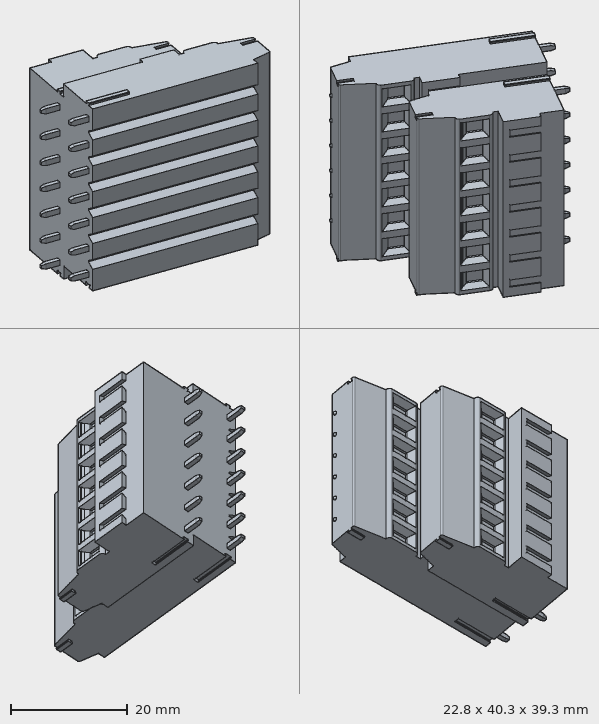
import cadquery as cq
import math

POLES = 7
PITCH = 5.08
ROW_DEPTH_STEP = 10.0
ROW_RISE = 11.32
ROW_STAGGER = PITCH / 2
BODY_LENGTH = 35.7
END_MARGIN = (BODY_LENGTH - (POLES - 1) * PITCH) / 2

FLANGE_BOTTOM = 4.3
FLANGE_TOP = 11.05
FLANGE_DEPTH = 1.0
WIRE_FACE_X = 2.65
NECK_X = 3.45
NECK_Y = 11.95
BULGE_BOTTOM = 12.75
BULGE_TOP = 18.05
BULGE_SHOULDER_Y = 18.7
CROWN_Y = 25.03
CROWN_FRONT_X = 4.55
CROWN_REAR_X = 10.4
CROWN_RADIUS = 0.32
SHOULDER_X = 11.35
SHOULDER_Y = 21.2
BACK_X = 12.8
FRONT_FLANGE_X = 0
REAR_FLANGE_X = 11.65 - ROW_DEPTH_STEP

FUNNEL_BOTTOM = 12.75
FUNNEL_TOP = 17.85
FUNNEL_WIDTH = 3.65
THROAT_BOTTOM = 13.55
THROAT_TOP = 16.5
THROAT_WIDTH = 2.6
FUNNEL_DEPTH = 1.4
THROAT_DEPTH = 1.8
LEDGE_TOP = 17.55
LEDGE_DEPTH = 0.35
LEDGE_CURVE_BOTTOM = 17.25
LEDGE_CURVE_DEPTH = 0.75
LEDGE_CURVE_BULGE = 0.06

NOTCH_TOP = 9.87
FRONT_NOTCH_MOUTH = 1.45
FRONT_NOTCH_ROOT = 2.4
REAR_NOTCH_MOUTH = 1.85
REAR_NOTCH_ROOT = 2.82

V_DEPTH = 1.45
V_MOUTH = 1.85
V_ROOT = 0.25

RAIL_LENGTH = 7.98
RAIL_X = 11.05
RAIL_WIDTH = 1.13
RAIL_NECK = 0.8
RAIL_HEIGHT = 0.52
RAIL_CHAMFER = 0.12
GROOVE_DEPTH = 0.65
REAR_GROOVE_WIDTH = 1.45
REAR_GROOVE_NECK = 0.95
TAB_X = 5.6
TAB_LENGTH = 2.9
TAB_WIDTH = 1.13
TAB_NECK = 0.73

PIN_X = 11.12
PIN_LENGTH = 3.6
PIN_WIDTH = 0.85
PIN_THICKNESS = 1.05
PIN_TIP_LENGTH = 0.8
PIN_TIP_THICKNESS = 0.55
FRONT_PIN_TIP_WIDTH = 0.52
PIN_EMBED = 0.4

REAR_NUB_X = 9.45
REAR_NUB_RADIUS = 0.35
FRONT_NUB_Y = 23.85
FRONT_NUB_RADIUS = 0.55
FRONT_NUB_INSET = 0.4


def pole_levels():
    return [END_MARGIN + i * PITCH for i in range(POLES)]


def gap_levels():
    return [z + PITCH / 2 for z in pole_levels()[:-1]]


def fuse_at(body, levels, feature):
    for z in levels:
        body = body.union(feature.translate((0, 0, z)))
    return body


def cut_at(body, levels, tool):
    for z in levels:
        body = body.cut(tool.translate((0, 0, z)))
    return body


def row_profile(flange_x, foot_y):
    """Extruded cross-section of one row, standing on foot_y."""
    base_x = flange_x + FLANGE_DEPTH
    middle_x = WIRE_FACE_X + (NECK_X - WIRE_FACE_X) * (1 - math.sqrt(0.5))
    lower_mid_y = BULGE_BOTTOM - (BULGE_BOTTOM - NECK_Y) * math.sqrt(0.5)
    upper_mid_y = BULGE_TOP + (BULGE_SHOULDER_Y - BULGE_TOP) * math.sqrt(0.5)
    body = (
        cq.Workplane("XY")
        .moveTo(base_x, foot_y)
        .lineTo(base_x, FLANGE_BOTTOM)
        .lineTo(flange_x, FLANGE_BOTTOM)
        .lineTo(flange_x, FLANGE_TOP)
        .lineTo(NECK_X, FLANGE_TOP)
        .lineTo(NECK_X, NECK_Y)
        .threePointArc((middle_x, lower_mid_y), (WIRE_FACE_X, BULGE_BOTTOM))
        .lineTo(WIRE_FACE_X, BULGE_TOP)
        .threePointArc((middle_x, upper_mid_y), (NECK_X, BULGE_SHOULDER_Y))
        .lineTo(CROWN_FRONT_X, CROWN_Y)
        .lineTo(CROWN_REAR_X, CROWN_Y)
        .lineTo(SHOULDER_X, SHOULDER_Y)
        .lineTo(BACK_X, SHOULDER_Y)
        .lineTo(BACK_X, foot_y)
        .close()
        .extrude(BODY_LENGTH)
    )
    return body.faces(">Y").edges("|Z").fillet(CROWN_RADIUS)


def wire_funnel(has_ledge):
    """Tapered wire entry with a short straight throat, centred on z = 0."""
    throat_y = (THROAT_BOTTOM + THROAT_TOP) / 2
    throat_height = THROAT_TOP - THROAT_BOTTOM
    upper_wall = LEDGE_TOP if has_ledge else THROAT_TOP
    funnel = (
        cq.Workplane("YZ", origin=(WIRE_FACE_X, 0, 0))
        .center((FUNNEL_BOTTOM + FUNNEL_TOP) / 2, 0)
        .rect(FUNNEL_TOP - FUNNEL_BOTTOM, FUNNEL_WIDTH)
        .workplane(offset=FUNNEL_DEPTH)
        .center((THROAT_BOTTOM + upper_wall - FUNNEL_BOTTOM - FUNNEL_TOP) / 2, 0)
        .rect(upper_wall - THROAT_BOTTOM, THROAT_WIDTH)
        .loft(ruled=True)
    )
    if has_ledge:
        curve_middle = (
            WIRE_FACE_X + (LEDGE_DEPTH + LEDGE_CURVE_DEPTH) / 2 + LEDGE_CURVE_BULGE,
            (LEDGE_TOP + LEDGE_CURVE_BOTTOM) / 2 + LEDGE_CURVE_BULGE,
        )
        ledge = (
            cq.Workplane("XY")
            .moveTo(WIRE_FACE_X + LEDGE_DEPTH, FUNNEL_TOP)
            .lineTo(WIRE_FACE_X + LEDGE_DEPTH, LEDGE_TOP)
            .threePointArc(curve_middle, (WIRE_FACE_X + LEDGE_CURVE_DEPTH, LEDGE_CURVE_BOTTOM))
            .lineTo(WIRE_FACE_X + FUNNEL_DEPTH, THROAT_TOP)
            .lineTo(WIRE_FACE_X + FUNNEL_DEPTH, FUNNEL_TOP)
            .close()
            .extrude(FUNNEL_WIDTH / 2, both=True)
        )
        funnel = funnel.cut(ledge)
    throat = (
        cq.Workplane("XY")
        .box(THROAT_DEPTH, throat_height, THROAT_WIDTH, centered=(False, True, True))
        .translate((WIRE_FACE_X, throat_y, 0))
    )
    return funnel.union(throat)


def tapered_slot(x_start, x_end, start_width, end_width, y_bottom, y_top):
    """Prism along Y whose Z width changes from x_start to x_end."""
    return (
        cq.Workplane("XZ", origin=(0, y_top, 0))
        .moveTo(x_start, -start_width / 2)
        .lineTo(x_end, -end_width / 2)
        .lineTo(x_end, end_width / 2)
        .lineTo(x_start, start_width / 2)
        .close()
        .extrude(y_top - y_bottom)
    )


def dovetail(x, z, height, neck, width, y_bottom, y_top):
    """Bevelled dovetail along Y with its neck at z, widening towards z + height."""
    widest_z = z + height - math.copysign(RAIL_CHAMFER, height)
    crest = width / 2 - RAIL_CHAMFER
    return (
        cq.Workplane("XZ", origin=(0, y_top, 0))
        .moveTo(x - neck / 2, z)
        .lineTo(x + neck / 2, z)
        .lineTo(x + width / 2, widest_z)
        .lineTo(x + crest, z + height)
        .lineTo(x - crest, z + height)
        .lineTo(x - width / 2, widest_z)
        .close()
        .extrude(y_top - y_bottom)
    )


def pin(foot_y, tip_width):
    """Rectangular solder pin with a tapered tip, pointing along -Y."""
    shank_length = PIN_LENGTH - PIN_TIP_LENGTH
    shank = (
        cq.Workplane("XZ", origin=(PIN_X, foot_y + PIN_EMBED, 0))
        .rect(PIN_WIDTH, PIN_THICKNESS)
        .extrude(PIN_EMBED + shank_length)
    )
    tip = (
        cq.Workplane("XZ", origin=(PIN_X, foot_y - shank_length, 0))
        .rect(PIN_WIDTH, PIN_THICKNESS)
        .workplane(offset=PIN_TIP_LENGTH)
        .rect(tip_width, PIN_TIP_THICKNESS)
        .loft(ruled=True)
    )
    return shank.union(tip)


def nub(x, y, radius):
    return cq.Workplane("YZ").sphere(radius).translate((x, y, 0))


def terminal_row(flange_x, foot_y, has_ledge, notch_mouth, notch_root,
                 groove_neck, groove_width, pin_tip_width):
    """One complete row of poles in front-row coordinates."""
    body = row_profile(flange_x, foot_y)
    body = cut_at(body, pole_levels(), wire_funnel(has_ledge))
    notch = tapered_slot(flange_x, flange_x + FLANGE_DEPTH, notch_mouth, notch_root,
                         FLANGE_BOTTOM, NOTCH_TOP)
    body = cut_at(body, pole_levels(), notch)

    rail_top = foot_y + RAIL_LENGTH
    tab_bottom = CROWN_Y - TAB_LENGTH
    body = body.union(dovetail(RAIL_X, BODY_LENGTH, RAIL_HEIGHT, RAIL_NECK, RAIL_WIDTH,
                               foot_y, rail_top))
    body = body.cut(dovetail(RAIL_X, 0, GROOVE_DEPTH, groove_neck, groove_width,
                             foot_y, rail_top))
    body = body.union(dovetail(TAB_X, 0, -RAIL_HEIGHT, TAB_NECK, TAB_WIDTH,
                               tab_bottom, CROWN_Y))
    body = body.cut(dovetail(TAB_X, BODY_LENGTH, -GROOVE_DEPTH, TAB_NECK, TAB_WIDTH,
                             tab_bottom, CROWN_Y))
    return fuse_at(body, pole_levels(), pin(foot_y, pin_tip_width))


def front_row():
    row = terminal_row(FRONT_FLANGE_X, 0, True, FRONT_NOTCH_MOUTH, FRONT_NOTCH_ROOT,
                       RAIL_NECK, RAIL_WIDTH, FRONT_PIN_TIP_WIDTH)
    slope = (SHOULDER_X - CROWN_REAR_X) / (CROWN_Y - SHOULDER_Y)
    nub_x = CROWN_REAR_X + slope * (CROWN_Y - FRONT_NUB_Y) - FRONT_NUB_INSET
    return fuse_at(row, gap_levels(), nub(nub_x, FRONT_NUB_Y, FRONT_NUB_RADIUS))


def rear_row():
    row = terminal_row(REAR_FLANGE_X, -ROW_RISE, False, REAR_NOTCH_MOUTH, REAR_NOTCH_ROOT,
                       REAR_GROOVE_NECK, REAR_GROOVE_WIDTH, PIN_WIDTH)
    v_groove = tapered_slot(BACK_X, BACK_X - V_DEPTH, V_MOUTH, V_ROOT, -ROW_RISE, SHOULDER_Y)
    row = cut_at(row, gap_levels(), v_groove)
    row = fuse_at(row, gap_levels(), nub(REAR_NUB_X, CROWN_Y, REAR_NUB_RADIUS))
    return row.translate((ROW_DEPTH_STEP, ROW_RISE, ROW_STAGGER))


result = front_row().union(rear_row())